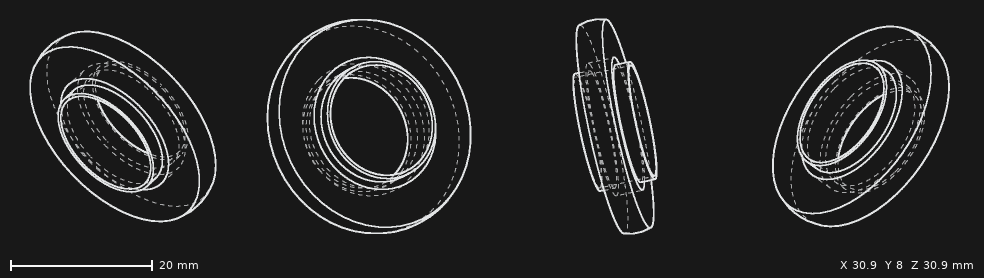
import cadquery as cq

wheel_diameter = 30.85
wheel_face_diameter = 30.15
wheel_width = 3.82
hub_diameter = 19.18
sleeve_diameter = 17.0
bore_diameter = 16.0
sleeve_length = 8.0


def cylinder(diameter, length):
    """Solid cylinder along Y, centred on the origin."""
    return cq.Workplane("XZ", origin=(0, length / 2, 0)).circle(diameter / 2).extrude(length)


def make_wheel():
    """Wheel with a crowned rim and a plain bore for the hub."""
    half_width = wheel_width / 2
    face_radius = wheel_face_diameter / 2
    hub_radius = hub_diameter / 2
    profile = (
        cq.Workplane("XY")
        .moveTo(hub_radius, -half_width)
        .lineTo(face_radius, -half_width)
        .threePointArc((wheel_diameter / 2, 0), (face_radius, half_width))
        .lineTo(hub_radius, half_width)
        .close()
    )
    return profile.revolve(360, (0, 0, 0), (0, 1, 0))


def make_bushing():
    """Thin sleeve with a thicker hub, flush with the wheel, and a through bore."""
    sleeve = cylinder(sleeve_diameter, sleeve_length)
    hub = cylinder(hub_diameter, wheel_width)
    bore = cylinder(bore_diameter, sleeve_length)
    return sleeve.union(hub).cut(bore)


wheel = make_wheel()
bushing = make_bushing()

result = cq.Compound.makeCompound([wheel.val(), bushing.solids().val()])